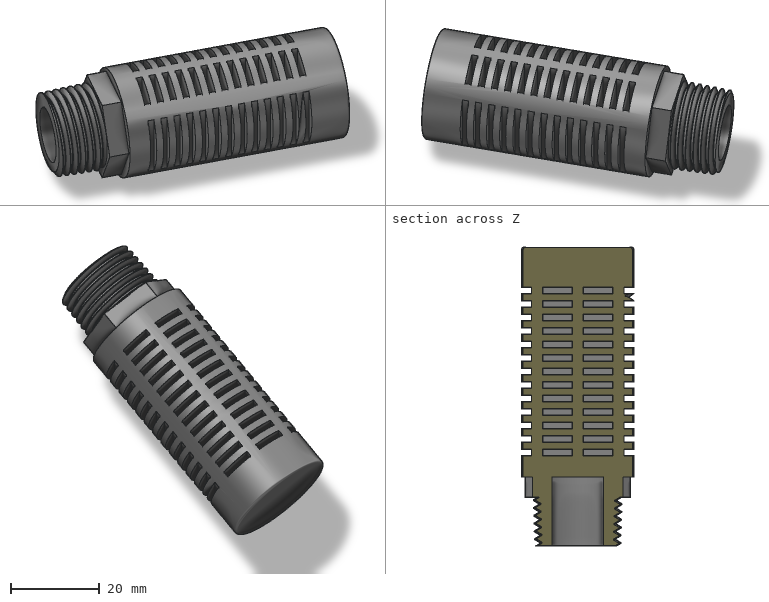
import cadquery as cq
import math

total_length = 67.55
body_diameter = 25.4
body_length = 52.0
hex_length = 4.5
hex_across_flats = 20.6
thread_length = total_length - body_length - hex_length
bore_diameter = 12.7
end_fillet = 0.6

slot_count = 13
slot_span = 36.6
slot_width = 1.4
first_slot_from_end = 9.8
slot_length = 6.6
row_gap = 2.6
row_count = 4
slot_floor_z = -7.3

thread_pitch = 1.75
thread_taper_angle = 1.8
crest_radius_at_tip = 9.7
thread_depth = 1.2
crest_flat = 0.15
root_gap = 0.15
crest_offset_from_tip = 1.55
ridge_overlap = 0.2
lead_in_turns = 2

tip_y = -total_length / 2
hex_start_y = tip_y + thread_length
body_start_y = hex_start_y + hex_length
end_y = total_length / 2
body_radius = body_diameter / 2
taper = math.tan(math.radians(thread_taper_angle))


def along_axis(start_y):
    """Workplane across the axis at start_y, extruding toward +Y, with local x = -X and local y = Z."""
    return cq.Workplane(cq.Plane(origin=(0, start_y, 0), xDir=(-1, 0, 0), normal=(0, 1, 0)))


def make_body():
    body = along_axis(body_start_y).circle(body_radius).extrude(body_length)
    return body.faces(">Y").edges().fillet(end_fillet)


def make_hexagon():
    across_corners = hex_across_flats / math.cos(math.pi / 6)
    return along_axis(hex_start_y).polygon(6, across_corners).extrude(hex_length)


def make_slots():
    """All slot cutters, rising from the common slot floor to the top of the body."""
    rows_middle_y = end_y - first_slot_from_end - slot_span / 2
    slot_pitch = slot_span / (slot_count - 1)
    row_pitch = slot_length + row_gap
    return (
        cq.Workplane("XY", origin=(0, rows_middle_y, slot_floor_z))
        .rarray(row_pitch, slot_pitch, row_count, slot_count)
        .rect(slot_length, slot_width)
        .extrude(body_radius - slot_floor_z)
    )


def make_thread():
    """Tapered core with a helical V ridge, trimmed to the threaded length."""
    root_radius_at_tip = crest_radius_at_tip - thread_depth
    core_outline = [
        (0, tip_y),
        (root_radius_at_tip, tip_y),
        (root_radius_at_tip + thread_length * taper, hex_start_y),
        (0, hex_start_y),
    ]
    core = cq.Workplane("XY").polyline(core_outline).close().revolve(360, (0, 0, 0), (0, 1, 0))

    helix_start = crest_offset_from_tip - lead_in_turns * thread_pitch
    helix_length = thread_length - helix_start + thread_pitch
    start_radius = root_radius_at_tip + helix_start * taper
    helix = cq.Wire.makeHelix(thread_pitch, helix_length, start_radius, angle=thread_taper_angle)

    half_root = (thread_pitch - root_gap) / 2
    half_crest = crest_flat / 2
    ridge_outline = [
        (start_radius - ridge_overlap, -half_root),
        (start_radius - ridge_overlap, half_root),
        (start_radius, half_root),
        (start_radius + thread_depth, half_crest),
        (start_radius + thread_depth, -half_crest),
        (start_radius, -half_root),
    ]
    ridge = cq.Workplane("XZ").polyline(ridge_outline).close().sweep(cq.Workplane(helix), isFrenet=True)
    ridge = ridge.rotate((0, 0, 0), (0, 0, 1), 180).rotate((0, 0, 0), (1, 0, 0), -90)
    ridge = ridge.translate((0, tip_y + helix_start, 0))

    threaded_zone = along_axis(tip_y).circle(body_radius).extrude(thread_length)
    return core.union(ridge.intersect(threaded_zone))


def make_bore():
    return along_axis(tip_y).circle(bore_diameter / 2).extrude(thread_length + hex_length)


result = make_body().cut(make_slots()).union(make_hexagon()).union(make_thread()).cut(make_bore())